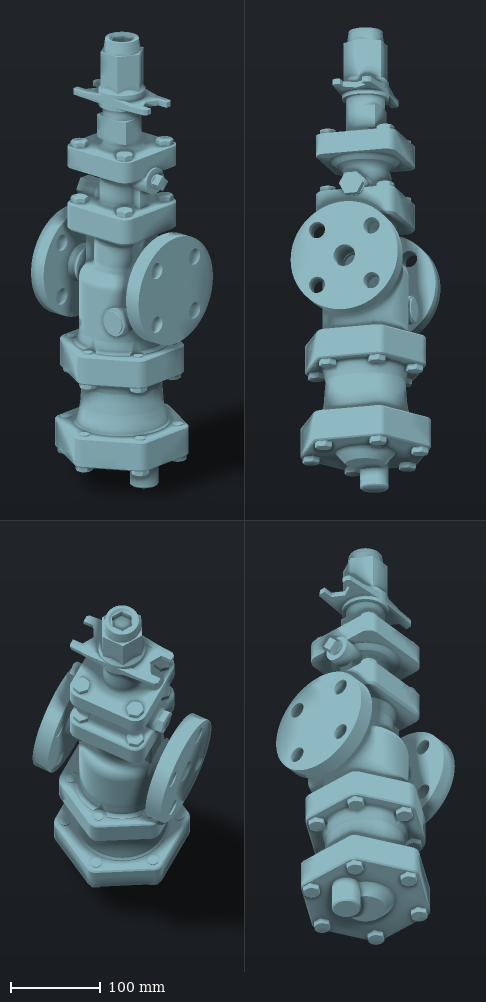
import cadquery as cq
import math


overall_length = 160.0
port_z = 240.5
pipe_flange_diameter = 125.5
pipe_flange_thickness = 19.0
pipe_bolt_offset = 32.0
pipe_bolt_hole_diameter = 19.0
port_diameter = 25.0
port_depth = 42
nozzle_radius = 19.5
nozzle_root_radius = 22.0
nozzle_root_length = 4.5
nozzle_flare_start = 54.5
nozzle_flare_end = 45.5
nozzle_flare_radius = 25.5
elbow_radius = 22.0
elbow_x = 40.5
elbow_z = 252.0

lower_hex_flats = 134.0
lower_hex_corner_radius = 10.5
lower_hex_bottom = 32.5
lower_hex_joint = 49.5
lower_hex_top = 67.5
lower_bolt_circle_radius = 63.5
lower_stud_diameter = 12.0
upper_hex_flats = 125.5
upper_hex_corner_radius = 13.0
upper_hex_bottom = 129.0
upper_hex_joint = 145.5
upper_hex_top = 163.0
upper_bolt_circle_radius = 57.5
upper_stud_diameter = 10.0
hex_edge_chamfer = 1.5
stud_projection = 1.5
hex_bolt_height = 6.5
barrel_spotface_diameter = 19.0
neck_spotface_diameter = 24.0

square_side = 93.5
square_corner_radius = 13.0
square_bolt_offset = 33.65
square_bolt_height = 6.5
bolt_flats = 17.0
bolt_chamfer = 1.3
gasket_thickness = 1.5
lower_square_top_chamfer = 1.5
lower_square_bottom_chamfer = 2.5
lower_square_bottom = 296.0
lower_square_joint = 316.5
lower_square_top = 328.5
upper_square_bottom = 370.5
upper_square_joint = 381.5
upper_square_top = 394.5

dish_bottom = 20.5
dish_bottom_radius = 22.5
dish_top_radius = 33.5
lower_neck_radius = 45.0
lower_neck_z = 114.5
flare_top_radius = 46.7
flare_top_z = 90.0
flare_mid_radius = 48.5
flare_mid_z = 80.0
flare_base_radius = 51.5
flare_base_z = 70.0
pad_radius = 54.5
pad_height = 1.0
lower_neck_top_radius = 47.0
lower_neck_fillet = 3.0
barrel_radius = 48.0
barrel_base_radius = 49.5
barrel_base_z = 166.0
barrel_bottom = 177.0
barrel_top = 237.0
shoulder_top = 260.5
shoulder_radius = 16.5
neck_radius = 31.05
neck_top = 283.5
neck_flare_radius = 35.0
spindle_neck_radius = 25.0
spindle_neck_fillet = 4.0
bonnet_bottom = 356.5
bonnet_radius = 32.5
bonnet_step_z = 365.5
bonnet_top_radius = 38.5

rib_reach = 43.5
rib_width = 27.0
rib_corner_radius = 3.0
rib_bottom = 240
right_boss_diameter = 30.0
right_boss_z = 363.5
right_boss_end = 49.5
right_plug_neck_diameter = 15.5
right_plug_neck_length = 2.0
right_plug_corners = 18.0
right_plug_length = 9.5
web_reach = 33.5
web_width = 15.5
left_boss_diameter = 27.0
left_boss_z = 332.0
left_boss_end = 48.0
left_boss_root_radius = 16.5
left_boss_root_length = 4.5
left_plug_flats = 24.0
left_plug_length = 8.0
front_boss_x = 28.5
front_boss_z = 203.0
front_boss_diameter = 32.0
front_boss_end = 46.5
front_plug_diameter = 27.0
front_plug_length = 2.0
drain_x = 33.0
drain_diameter = 32.0
drain_chamfer = 1.5

spindle_radius = 21.65
spindle_fillet = 6.5
flat_bottom = 404.0
flat_top = 430.5
flat_side_length = 18.0
collar_bottom = 443.0
collar_top = 462.0
collar_radius = 26.35
collar_cone_top = 468.0
nut_flats = 44.0
nut_top = 507.5
cap_base_radius = 21.0
cap_top_radius = 19.0
top_z = 522
socket_diameter = 25.0
socket_depth = 12.0
countersink_radius = 15.0
countersink_depth = 2.5
handle_half_length = 55.0
handle_bottom = 448.0
handle_top = 454.0
handle_centre_half_width = 26.0
handle_end_half_width = 22.5
handle_end_corner = 2.5
jaw_half_width = 13.0
jaw_corner_x = 43.0
handle_rib_top = 459.5
handle_rib_length = 32.5
handle_rib_inner_y = 17.0


def hexagon_diameter(flats):
    """Diameter over the corners of a hexagon with the given width over flats."""
    return flats / math.cos(math.radians(30))


def disc(radius, bottom, top):
    return cq.Workplane("XY").workplane(offset=bottom).circle(radius).extrude(top - bottom)


def cross_bar(diameter, z, start, end, sides=0):
    """Bar along X between two X positions, round or with the given number of sides."""
    plane = cq.Workplane("YZ", origin=(start, 0, z))
    outline = plane.polygon(sides, diameter) if sides else plane.circle(diameter / 2)
    return outline.extrude(end - start)


def turned_body():
    """Body of revolution from the bottom dish to the bonnet under the upper square flange."""
    step = barrel_radius - neck_radius
    rise = shoulder_top - barrel_top
    fillet_radius = (step**2 + rise**2) / (2 * step) - shoulder_radius
    meeting_angle = math.asin(rise / (shoulder_radius + fillet_radius))
    meeting_r = barrel_radius - shoulder_radius * (1 - math.cos(meeting_angle))
    meeting_z = barrel_top + shoulder_radius * math.sin(meeting_angle)
    profile = (
        cq.Workplane("XZ")
        .moveTo(0, dish_bottom)
        .lineTo(dish_bottom_radius, dish_bottom)
        .lineTo(dish_top_radius, lower_hex_bottom)
        .lineTo(pad_radius, lower_hex_bottom)
        .lineTo(pad_radius, lower_hex_top + pad_height)
        .lineTo(flare_base_radius, flare_base_z)
        .threePointArc((flare_mid_radius, flare_mid_z), (flare_top_radius, flare_top_z))
        .lineTo(lower_neck_radius, lower_neck_z)
        .lineTo(lower_neck_top_radius, upper_hex_bottom - lower_neck_fillet)
        .radiusArc((lower_neck_top_radius + lower_neck_fillet, upper_hex_bottom), lower_neck_fillet)
        .lineTo(pad_radius, upper_hex_bottom)
        .lineTo(pad_radius, upper_hex_top + pad_height)
        .lineTo(barrel_base_radius, barrel_base_z)
        .lineTo(barrel_radius, barrel_bottom)
        .lineTo(barrel_radius, barrel_top)
        .radiusArc((meeting_r, meeting_z), -shoulder_radius)
        .radiusArc((neck_radius, shoulder_top), fillet_radius)
        .lineTo(neck_radius, neck_top)
        .lineTo(neck_flare_radius, lower_square_bottom)
        .lineTo(neck_flare_radius, lower_square_joint)
        .lineTo(spindle_neck_radius + spindle_neck_fillet, lower_square_joint)
        .lineTo(spindle_neck_radius + spindle_neck_fillet, lower_square_top)
        .radiusArc((spindle_neck_radius, lower_square_top + spindle_neck_fillet), spindle_neck_fillet)
        .lineTo(spindle_neck_radius, bonnet_bottom)
        .radiusArc((bonnet_radius, bonnet_step_z), bonnet_step_z - bonnet_bottom)
        .lineTo(bonnet_top_radius, upper_square_bottom)
        .lineTo(0, upper_square_bottom)
        .close()
    )
    return profile.revolve(360, (0, 0, 0), (0, 1, 0))


def hexagon_half(flats, corner_radius, bottom, top, chamfered_face):
    """Half of a bolted hexagonal flange with corners on the Y axis."""
    half = (
        cq.Workplane("XY")
        .workplane(offset=bottom)
        .transformed(rotate=(0, 0, 90))
        .polygon(6, hexagon_diameter(flats))
        .extrude(top - bottom)
    )
    half = half.edges("|Z").fillet(corner_radius)
    return half.faces(chamfered_face).chamfer(hex_edge_chamfer)


def bolt_head(x, y, bottom, top, outer_face):
    """Hexagonal bolt head with one corner pointing away from the Z axis and its outer rim turned off."""
    direction = math.degrees(math.atan2(y, x))
    corner_diameter = hexagon_diameter(bolt_flats)
    head = cq.Workplane("XY").polygon(6, corner_diameter).extrude(top - bottom)
    turned_rim = disc(corner_diameter / 2, 0, top - bottom).faces(outer_face).chamfer(bolt_chamfer)
    return head.intersect(turned_rim).rotate((0, 0, 0), (0, 0, 1), direction).translate((x, y, bottom))


def hexagon_bolt_places(circle_radius):
    angles = [math.radians(30 + 60 * index) for index in range(6)]
    return [(circle_radius * math.cos(angle), circle_radius * math.sin(angle)) for angle in angles]


def hexagon_bolts(circle_radius, stud_diameter, bottom, top):
    """Heads under a hexagonal flange and stud ends standing above it."""
    places = hexagon_bolt_places(circle_radius)
    bolts = (
        cq.Workplane("XY")
        .workplane(offset=bottom)
        .pushPoints(places)
        .circle(stud_diameter / 2)
        .extrude(top + stud_projection - bottom)
    )
    for x, y in places:
        bolts = bolts.union(bolt_head(x, y, bottom - hex_bolt_height, bottom, "<Z"))
    return bolts


def spotfaces(diameter, bottom, top):
    """Clearance around the upper hexagon bolts."""
    return (
        cq.Workplane("XY")
        .workplane(offset=bottom)
        .pushPoints(hexagon_bolt_places(upper_bolt_circle_radius))
        .circle(diameter / 2)
        .extrude(top - bottom)
    )


def square_plate(bottom, top):
    plate = cq.Workplane("XY").workplane(offset=bottom).rect(square_side, square_side).extrude(top - bottom)
    return plate.edges("|Z").fillet(square_corner_radius)


def square_bolts(bottom):
    bolts = cq.Workplane("XY")
    for x in (-square_bolt_offset, square_bolt_offset):
        for y in (-square_bolt_offset, square_bolt_offset):
            bolts = bolts.union(bolt_head(x, y, bottom, bottom + square_bolt_height, ">Z"))
    return bolts


def pipe_flange(start):
    flange = cross_bar(pipe_flange_diameter, port_z, start, start + pipe_flange_thickness)
    holes = (
        cq.Workplane("YZ", origin=(start, 0, port_z))
        .rect(2 * pipe_bolt_offset, 2 * pipe_bolt_offset, forConstruction=True)
        .vertices()
        .circle(pipe_bolt_hole_diameter / 2)
        .extrude(pipe_flange_thickness)
    )
    return flange.cut(holes)


def turned_bar(z, profile):
    """Solid turned about an axis along X, from (position along X, radius) points."""
    outline = [(profile[0][0], 0), *profile, (profile[-1][0], 0)]
    return cq.Workplane("XZ", origin=(0, 0, z)).polyline(outline).close().revolve(360, (0, 0, 0), (1, 0, 0))


def inlet_nozzle(flange_face):
    """Straight nozzle that widens where it meets the inlet flange and the barrel."""
    profile = [
        (flange_face, nozzle_root_radius),
        (flange_face + nozzle_root_length, nozzle_radius),
        (-nozzle_flare_start, nozzle_radius),
        (-nozzle_flare_end, nozzle_flare_radius),
    ]
    return turned_bar(port_z, profile)


def outlet_elbow(flange_face):
    """Sloping outlet with a ball end, running down from the shoulder to the outlet flange."""
    ball = cq.Workplane("XY").sphere(elbow_radius).translate((elbow_x, 0, elbow_z))
    run = flange_face + pipe_flange_thickness / 2 - elbow_x
    drop = elbow_z - port_z
    axis = cq.Plane(origin=(elbow_x, 0, elbow_z), xDir=(0, 1, 0), normal=(run, 0, -drop))
    sloping_pipe = cq.Workplane(axis).circle(elbow_radius).extrude(math.hypot(run, drop))
    reach_limit = cq.Workplane("XY").box(flange_face, square_side, square_side, centered=(False, True, True))
    return ball.union(sloping_pipe).intersect(reach_limit.translate((0, 0, port_z)))


def neck_ribs():
    """Pair of vertical ribs on the +X and -X sides between the shoulder and the lower square flange."""
    base = cq.Workplane("XY").workplane(offset=rib_bottom).rect(2 * rib_reach, rib_width)
    return base.extrude(lower_square_bottom - rib_bottom).edges("|Z").fillet(rib_corner_radius)


def right_boss_web():
    """Web joining the right boss to the lower square flange."""
    height = right_boss_z - lower_square_joint
    web = cq.Workplane("XY").box(web_reach, web_width, height, centered=(False, True, False))
    return web.translate((0, 0, lower_square_joint))


def right_boss():
    """Round boss closed by a square plug."""
    plug_start = right_boss_end + right_plug_neck_length
    boss = cross_bar(right_boss_diameter, right_boss_z, 0, right_boss_end)
    plug_neck = cross_bar(right_plug_neck_diameter, right_boss_z, right_boss_end, plug_start)
    plug = cross_bar(right_plug_corners, right_boss_z, plug_start, plug_start + right_plug_length, sides=4)
    return boss.union(plug_neck).union(plug)


def left_boss():
    """Round boss closed by a hexagonal plug, flaring out where it meets the spindle neck."""
    profile = [
        (-left_boss_end, left_boss_diameter / 2),
        (-spindle_neck_radius - left_boss_root_length, left_boss_diameter / 2),
        (-spindle_neck_radius, left_boss_root_radius),
        (0, left_boss_root_radius),
    ]
    plug_end = -left_boss_end - left_plug_length
    plug = cross_bar(hexagon_diameter(left_plug_flats), left_boss_z, plug_end, -left_boss_end, sides=6)
    return turned_bar(left_boss_z, profile).union(plug)


def front_boss():
    """Boss and round plug pointing along -Y from the barrel."""
    axis = cq.Workplane("XZ", origin=(front_boss_x, 0, front_boss_z))
    boss = axis.circle(front_boss_diameter / 2).extrude(front_boss_end)
    plug = axis.circle(front_plug_diameter / 2).extrude(front_boss_end + front_plug_length)
    return boss.union(plug)


def drain():
    pipe = disc(drain_diameter / 2, 0, lower_hex_bottom).faces("<Z").chamfer(drain_chamfer)
    return pipe.translate((drain_x, 0, 0))


def spindle():
    """Spindle, collar and cap, turned about Z."""
    profile = (
        cq.Workplane("XZ")
        .moveTo(0, upper_square_top)
        .lineTo(spindle_radius + spindle_fillet, upper_square_top)
        .radiusArc((spindle_radius, upper_square_top + spindle_fillet), spindle_fillet)
        .lineTo(spindle_radius, collar_bottom)
        .lineTo(collar_radius, collar_bottom)
        .lineTo(collar_radius, collar_top)
        .lineTo(cap_base_radius, collar_cone_top)
        .lineTo(cap_base_radius, nut_top)
        .lineTo(cap_top_radius, top_z)
        .lineTo(0, top_z)
        .close()
    )
    return profile.revolve(360, (0, 0, 0), (0, 1, 0))


def spindle_flats():
    """Block with two side flats and a gently bowed front, on the -Y half of the spindle."""
    return (
        cq.Workplane("XY")
        .workplane(offset=flat_bottom)
        .moveTo(-spindle_radius, 0)
        .lineTo(-spindle_radius, -flat_side_length)
        .threePointArc((0, -spindle_radius), (spindle_radius, -flat_side_length))
        .lineTo(spindle_radius, 0)
        .close()
        .extrude(flat_top - flat_bottom)
    )


def nut():
    return (
        cq.Workplane("XY")
        .workplane(offset=collar_top)
        .polygon(6, hexagon_diameter(nut_flats))
        .extrude(nut_top - collar_top)
    )


def socket():
    """Hexagonal recess in the cap, with a countersunk mouth."""
    floor = cq.Workplane("XY").workplane(offset=top_z - socket_depth)
    recess = floor.polygon(6, socket_diameter).extrude(socket_depth)
    mouth_floor = cq.Workplane("XY").workplane(offset=top_z - countersink_depth).circle(socket_diameter / 2)
    mouth = mouth_floor.workplane(offset=countersink_depth).circle(countersink_radius).loft()
    return recess.union(mouth)


def handle_arm():
    """Arm on the +X side with an open hexagonal jaw and two tapering edge ribs."""
    jaw_bottom_x = jaw_corner_x - jaw_half_width * math.tan(math.radians(30))
    upper_half = [
        (0, handle_centre_half_width),
        (handle_half_length - handle_end_corner, handle_end_half_width),
        (handle_half_length, handle_end_half_width - handle_end_corner),
        (handle_half_length, jaw_half_width),
        (jaw_corner_x, jaw_half_width),
        (jaw_bottom_x, 0),
    ]
    lower_half = [(x, -y) for x, y in reversed(upper_half[:-1])]
    base = cq.Workplane("XY").workplane(offset=handle_bottom)
    plate = base.polyline(upper_half + lower_half).close().extrude(handle_top - handle_bottom)

    wedge = (
        cq.Workplane("XZ", origin=(0, handle_centre_half_width, 0))
        .polyline([(0, handle_top), (handle_rib_length, handle_top), (0, handle_rib_top)])
        .close()
        .extrude(2 * handle_centre_half_width)
    )
    between_ribs = cq.Workplane("XY").box(2 * handle_half_length, 2 * handle_rib_inner_y, 2 * top_z)
    rib_limit = base.polyline(upper_half + lower_half).close().extrude(handle_rib_top - handle_bottom)
    return plate.union(wedge.cut(between_ribs).intersect(rib_limit))


flange_face = overall_length / 2 - pipe_flange_thickness

body = turned_body().union(neck_ribs())
body = body.union(inlet_nozzle(-flange_face)).union(outlet_elbow(flange_face))
body = body.union(pipe_flange(-overall_length / 2)).union(pipe_flange(flange_face))
body = body.cut(cross_bar(port_diameter, port_z, -overall_length / 2, port_depth - overall_length / 2))
body = body.cut(spotfaces(barrel_spotface_diameter, upper_hex_top, barrel_bottom))
body = body.cut(spotfaces(neck_spotface_diameter, lower_neck_z, upper_hex_bottom))
body = body.union(front_boss()).union(drain())

arm = handle_arm()
top_works = spindle().union(spindle_flats()).union(nut()).union(arm).union(arm.mirror("YZ"))
top_works = top_works.cut(socket())

lower_hex = (lower_hex_flats, lower_hex_corner_radius)
lower_gasket_top = lower_square_joint + gasket_thickness
upper_gasket_top = upper_square_joint + gasket_thickness
upper_hex = (upper_hex_flats, upper_hex_corner_radius)
pieces = [
    hexagon_half(*lower_hex, lower_hex_bottom, lower_hex_joint, "<Z"),
    hexagon_half(*lower_hex, lower_hex_joint, lower_hex_top, ">Z"),
    hexagon_half(*upper_hex, upper_hex_bottom, upper_hex_joint, "<Z"),
    hexagon_half(*upper_hex, upper_hex_joint, upper_hex_top, ">Z"),
    hexagon_bolts(lower_bolt_circle_radius, lower_stud_diameter, lower_hex_bottom, lower_hex_top),
    hexagon_bolts(upper_bolt_circle_radius, upper_stud_diameter, upper_hex_bottom, upper_hex_top),
    square_plate(lower_square_bottom, lower_square_joint).faces("<Z").chamfer(lower_square_bottom_chamfer),
    square_plate(lower_square_joint, lower_gasket_top),
    square_plate(lower_gasket_top, lower_square_top).faces(">Z").chamfer(lower_square_top_chamfer),
    square_plate(upper_square_bottom, upper_square_joint),
    square_plate(upper_square_joint, upper_gasket_top),
    square_plate(upper_gasket_top, upper_square_top),
    square_bolts(lower_square_top),
    square_bolts(upper_square_top),
    right_boss(),
    right_boss_web(),
    left_boss(),
    top_works,
]

result = body
for piece in pieces:
    result = result.union(piece, clean=False)